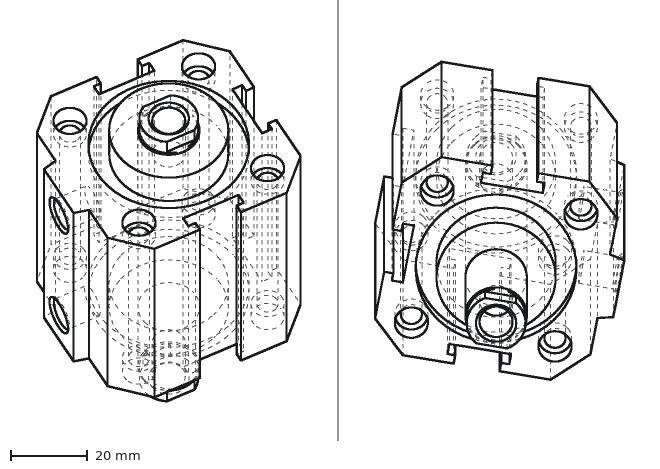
import cadquery as cq
import math


ROD_LENGTH = 110.5
ROD_DIAMETER = 16.0
NECK_LENGTH = 5.1
NECK_DIAMETER = 15.4
FLATS_WIDTH = 13.0
FLAT_RUNOUT_ANGLE = 30.0
ROD_HOLE_DIAMETER = 8.6
ROD_HOLE_MOUTH_DIAMETER = 10.5
ROD_HOLE_DEPTH = 15.0
DRILL_POINT_ANGLE = 118.0

BODY_WIDTH = 57.0
BODY_HEIGHT = 63.2
CORNER_CHAMFER = 9.0
SLOT_OPENING = 12.2
SLOT_WIDTH = 16.4
SLOT_LIP = 2.4
SLOT_DEPTH = 5.3
RIB_HEIGHT = 4.0
RIB_BASE_WIDTH = 18.3
RIB_TIP_WIDTH = 16.4

BOSS_DIAMETER = 31.0
BOSS_HEIGHT = 6.0
RECESS_DIAMETER = 41.9
RECESS_DEPTH = 4.0

MOUNT_SPACING = 38.0
MOUNT_DIAMETER = 5.5
COUNTERBORE_DIAMETER = 8.6
COUNTERBORE_DEPTH = 5.5
PORT_OFFSET = 10.4
PORT_DIAMETER = 8.6
PORT_MOUTH_DIAMETER = 10.3
PORT_DEPTH = 10.0

HALF_WIDTH = BODY_WIDTH / 2
HALF_HEIGHT = BODY_HEIGHT / 2
BOSS_FACE_Z = HALF_HEIGHT + BOSS_HEIGHT
ROD_END_Z = ROD_LENGTH / 2
SHOULDER_Z = ROD_END_Z - NECK_LENGTH
ROD_CENTRE_Z = BOSS_FACE_Z + NECK_LENGTH - ROD_END_Z
RIB_FACE_Y = -HALF_WIDTH - RIB_HEIGHT
ENDS = (1, -1)


def disc(diameter, z_from, z_to):
    """Cylinder on the Z axis between two heights given in either order."""
    return cq.Workplane("XY").workplane(offset=z_from).circle(diameter / 2).extrude(z_to - z_from)


def t_slot():
    """T-slot cutter through the +Y face of the body."""
    face_y = HALF_WIDTH
    opening = cq.Workplane("XY").box(SLOT_OPENING, 2 * SLOT_DEPTH, BODY_HEIGHT).translate((0, face_y, 0))
    channel_depth = SLOT_DEPTH - SLOT_LIP
    channel_y = face_y - SLOT_DEPTH + channel_depth / 2
    channel = cq.Workplane("XY").box(SLOT_WIDTH, channel_depth, BODY_HEIGHT).translate((0, channel_y, 0))
    return opening.union(channel)


def port_rib():
    """Tapered rib along the -Y face that carries the ports."""
    return (
        cq.Workplane("XY")
        .workplane(offset=-HALF_HEIGHT)
        .polyline([
            (-RIB_BASE_WIDTH / 2, -HALF_WIDTH),
            (-RIB_TIP_WIDTH / 2, RIB_FACE_Y),
            (RIB_TIP_WIDTH / 2, RIB_FACE_Y),
            (RIB_BASE_WIDTH / 2, -HALF_WIDTH),
        ])
        .close()
        .extrude(BODY_HEIGHT)
    )


def port(end):
    """Blind port cutter with a 45 degree countersunk mouth, entering the rib along +Y."""
    radius = PORT_DIAMETER / 2
    mouth_radius = PORT_MOUTH_DIAMETER / 2
    mouth_y = RIB_FACE_Y + mouth_radius - radius
    bottom_y = RIB_FACE_Y + PORT_DEPTH
    return (
        cq.Workplane("XY")
        .polyline([
            (0, RIB_FACE_Y),
            (mouth_radius, RIB_FACE_Y),
            (radius, mouth_y),
            (radius, bottom_y),
            (0, bottom_y),
        ])
        .close()
        .revolve(360, (0, 0), (0, 1))
        .translate((0, 0, end * (HALF_HEIGHT - PORT_OFFSET)))
    )


def mount_holes():
    """Four through holes, counterbored from both ends."""
    corners = cq.Workplane("XY").rect(MOUNT_SPACING, MOUNT_SPACING, forConstruction=True).vertices()
    cutters = corners.circle(MOUNT_DIAMETER / 2).extrude(HALF_HEIGHT, both=True)
    for end in ENDS:
        cutters = cutters.union(
            cq.Workplane("XY")
            .workplane(offset=end * HALF_HEIGHT)
            .rect(MOUNT_SPACING, MOUNT_SPACING, forConstruction=True)
            .vertices()
            .circle(COUNTERBORE_DIAMETER / 2)
            .extrude(-end * COUNTERBORE_DEPTH)
        )
    return cutters


def make_housing():
    body = cq.Workplane("XY").box(BODY_WIDTH, BODY_WIDTH, BODY_HEIGHT).edges("|Z").chamfer(CORNER_CHAMFER)
    body = body.union(port_rib())
    for angle in (-90, 0, 90):
        body = body.cut(t_slot().rotate((0, 0, 0), (0, 0, 1), angle))
    body = body.cut(mount_holes())
    for end in ENDS:
        end_face_z = end * HALF_HEIGHT
        recess_floor_z = end * (HALF_HEIGHT - RECESS_DEPTH)
        boss_face_z = end * BOSS_FACE_Z
        body = body.cut(disc(RECESS_DIAMETER, end_face_z, recess_floor_z))
        body = body.union(disc(BOSS_DIAMETER, recess_floor_z, boss_face_z))
        body = body.cut(port(end))
    return body.cut(disc(ROD_DIAMETER, -BOSS_FACE_Z, BOSS_FACE_Z))


def rod_blank():
    """Turned rod centred on the origin, with a small 45 degree shoulder down to a neck at each end."""
    rod_radius = ROD_DIAMETER / 2
    neck_radius = NECK_DIAMETER / 2
    neck_z = SHOULDER_Z + rod_radius - neck_radius
    return (
        cq.Workplane("XZ")
        .polyline([
            (0, -ROD_END_Z),
            (neck_radius, -ROD_END_Z),
            (neck_radius, -neck_z),
            (rod_radius, -SHOULDER_Z),
            (rod_radius, SHOULDER_Z),
            (neck_radius, neck_z),
            (neck_radius, ROD_END_Z),
            (0, ROD_END_Z),
        ])
        .close()
        .revolve(360, (0, 0), (0, 1))
    )


def flat_cutter():
    """Cutter for the upper +X wrench flat; its floor slopes down to the rod shoulder."""
    flat_x = FLATS_WIDTH / 2
    outer_x = ROD_DIAMETER / 2
    runout_z = SHOULDER_Z + (outer_x - flat_x) * math.tan(math.radians(FLAT_RUNOUT_ANGLE))
    return (
        cq.Workplane("XZ")
        .polyline([(flat_x, runout_z), (outer_x, SHOULDER_Z), (outer_x, ROD_END_Z), (flat_x, ROD_END_Z)])
        .close()
        .extrude(ROD_DIAMETER / 2, both=True)
    )


def rod_hole():
    """Drilled hole cutter in the upper rod end, with a 45 degree mouth and a drill point."""
    radius = ROD_HOLE_DIAMETER / 2
    mouth_radius = ROD_HOLE_MOUTH_DIAMETER / 2
    mouth_z = ROD_END_Z - (mouth_radius - radius)
    bottom_z = ROD_END_Z - ROD_HOLE_DEPTH
    tip_z = bottom_z - radius / math.tan(math.radians(DRILL_POINT_ANGLE / 2))
    return (
        cq.Workplane("XZ")
        .polyline([(0, ROD_END_Z), (mouth_radius, ROD_END_Z), (radius, mouth_z), (radius, bottom_z), (0, tip_z)])
        .close()
        .revolve(360, (0, 0), (0, 1))
    )


def make_rod():
    end_cutters = [flat_cutter(), flat_cutter().mirror("YZ"), rod_hole()]
    rod = rod_blank()
    for cutter in end_cutters:
        rod = rod.cut(cutter).cut(cutter.mirror("XY"))
    return rod.translate((0, 0, ROD_CENTRE_Z))


housing = make_housing()
rod = make_rod()

result = cq.Compound.makeCompound([housing.val(), rod.val()])